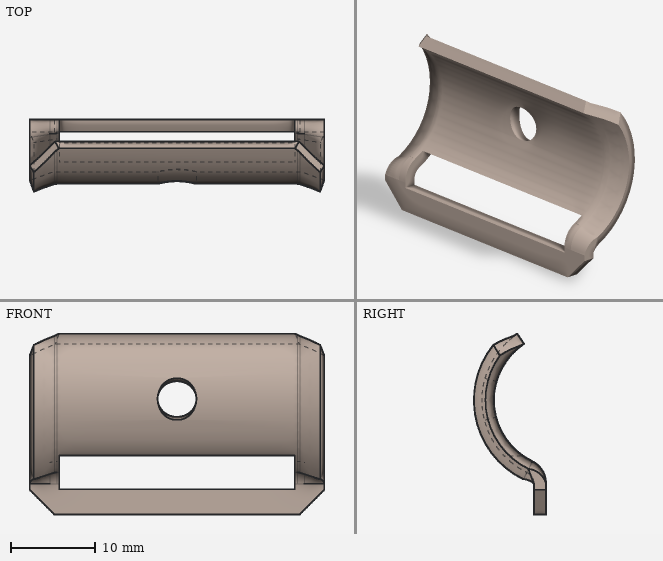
import cadquery as cq
import math

length = 35.0
height = 21.5
sheet = 1.47
half_length = length / 2

shell_radius = 9.52
shell_inner = shell_radius - sheet
axis_y = 1.85
axis_z = 13.58
tip_angle = math.asin((height - axis_z) / shell_radius)

bend_back_radius = 2.98
bend_front_radius = bend_back_radius - sheet
bend_y = -bend_back_radius
centre_distance = shell_inner + bend_back_radius
joint_angle = math.acos((axis_y - bend_y) / centre_distance)
bend_z = axis_z - centre_distance * math.sin(joint_angle)

flare_start = 14.28
flare_angle = math.radians(20)
fold_outer_radius = 0.9
fold_inner_radius = fold_outer_radius + sheet
fold_inner_end = flare_start + fold_inner_radius * math.sin(flare_angle)
flare_front_sagitta = 0.18
flare_back_sagitta = 0.42

clip_outer_start = 14.05
clip_inner_start = 14.5
clip_end_angle = math.radians(38.9)

lip_chamfer = 2.95
slot_half_length = 13.95
slot_bottom = 3.0
slot_top = 7.0
hole_width = 4.6
hole_height = 4.97
hole_z = 13.72

cutter_size = 21.0


def shell_point(radius, angle):
    """(Y, Z) on a circle about the shell axis; positive angles lie above it."""
    return axis_y - radius * math.cos(angle), axis_z + radius * math.sin(angle)


def fold_offset(x, fold_radius):
    """Outward shift of a flared surface at station x."""
    fold_end = flare_start + fold_radius * math.sin(flare_angle)
    shift = fold_radius * (1 - math.cos(flare_angle))
    return shift + (x - fold_end) * math.tan(flare_angle)


def fold_middle(fold_radius):
    """X and outward shift halfway round the fold."""
    half = flare_angle / 2
    return flare_start + fold_radius * math.sin(half), fold_radius * (1 - math.cos(half))


flare_inner_end_radius = shell_inner + fold_offset(half_length, fold_inner_radius)
flare_outer_end_x = half_length - sheet * math.sin(flare_angle)
flare_outer_end_radius = flare_inner_end_radius + sheet * math.cos(flare_angle)


def make_half_shell():
    """Shell for X >= 0, revolved from the upper edge down to the reverse bend."""
    outer_mid_x, outer_mid_shift = fold_middle(fold_outer_radius)
    inner_mid_x, inner_mid_shift = fold_middle(fold_inner_radius)
    outer_fold_end = flare_start + fold_outer_radius * math.sin(flare_angle)
    outer_fold_shift = fold_offset(outer_fold_end, fold_outer_radius)
    inner_fold_shift = fold_offset(fold_inner_end, fold_inner_radius)
    return (
        cq.Workplane("XY")
        .moveTo(0, -shell_radius)
        .lineTo(flare_start, -shell_radius)
        .threePointArc(
            (outer_mid_x, -shell_radius - outer_mid_shift),
            (outer_fold_end, -shell_radius - outer_fold_shift),
        )
        .lineTo(flare_outer_end_x, -flare_outer_end_radius)
        .lineTo(half_length, -flare_inner_end_radius)
        .lineTo(fold_inner_end, -shell_inner - inner_fold_shift)
        .threePointArc(
            (inner_mid_x, -shell_inner - inner_mid_shift),
            (flare_start, -shell_inner),
        )
        .lineTo(0, -shell_inner)
        .close()
        .revolve(math.degrees(tip_angle + joint_angle), (0, 0), (1, 0))
        .rotate((0, 0, 0), (1, 0, 0), -math.degrees(tip_angle))
        .translate((0, axis_y, axis_z))
    )


def bulged_middle(start, end, sagitta):
    """Middle of an arc bulging to the left of the chord from start to end."""
    dy = end[0] - start[0]
    dz = end[1] - start[1]
    chord = math.hypot(dy, dz)
    return (
        (start[0] + end[0]) / 2 - sagitta * dz / chord,
        (start[1] + end[1]) / 2 + sagitta * dy / chord,
    )


def bend_section(x, outer_shift, inner_shift, front_sagitta, back_sagitta):
    """Closed section of the reverse bend at station x."""
    front_top = shell_point(shell_radius + outer_shift, -joint_angle)
    back_top = shell_point(shell_inner + inner_shift, -joint_angle)
    front_low = (-sheet, bend_z)
    back_low = (0, bend_z)
    front_mid = bulged_middle(front_top, front_low, front_sagitta)
    back_mid = bulged_middle(back_top, back_low, back_sagitta)
    return (
        cq.Workplane("YZ", origin=(x, 0, 0))
        .moveTo(*front_top)
        .threePointArc(front_mid, front_low)
        .lineTo(*back_low)
        .threePointArc(back_mid, back_top)
        .close()
    )


def beyond_plane(a, b, c):
    """Large block on the +X side of the plane through three points."""
    point = cq.Vector(*a)
    normal = (cq.Vector(*b) - point).cross(cq.Vector(*c) - point)
    if normal.x < 0:
        normal = normal * -1
    plane = cq.Plane(origin=a, normal=normal.toTuple())
    return cq.Workplane(plane).rect(cutter_size, cutter_size).extrude(cutter_size)


def make_half_bend():
    """Reverse bend for X >= 0, fading from the flare into the flat lip."""
    sagitta_factor = 1 - math.cos(joint_angle / 2)
    front_sagitta = bend_front_radius * sagitta_factor
    back_sagitta = bend_back_radius * sagitta_factor
    straight = bend_section(0, 0, 0, front_sagitta, back_sagitta).extrude(flare_start)
    sections = [
        bend_section(flare_start, 0, 0, front_sagitta, back_sagitta),
        bend_section(
            fold_inner_end,
            fold_offset(fold_inner_end, fold_outer_radius),
            fold_offset(fold_inner_end, fold_inner_radius),
            front_sagitta,
            back_sagitta,
        ),
        bend_section(
            half_length,
            fold_offset(half_length, fold_outer_radius),
            fold_offset(half_length, fold_inner_radius),
            flare_front_sagitta,
            flare_back_sagitta,
        ),
    ]
    wires = [section.wires().val() for section in sections]
    flared = cq.Workplane(cq.Solid.makeLoft(wires, True))
    end_trim = beyond_plane(
        (flare_outer_end_x, *shell_point(flare_outer_end_radius, -joint_angle)),
        (half_length, *shell_point(flare_inner_end_radius, -joint_angle)),
        (half_length, -sheet, bend_z),
    )
    return straight.union(flared.cut(end_trim))


def make_half_lip():
    """Flat lip for X >= 0 with its lower corner cut at 45 degrees."""
    return (
        cq.Workplane("XZ")
        .moveTo(0, 0)
        .lineTo(half_length - lip_chamfer, 0)
        .lineTo(half_length, lip_chamfer)
        .lineTo(half_length, bend_z)
        .lineTo(0, bend_z)
        .close()
        .extrude(sheet)
    )


def make_slot():
    """Window through the lip and the bend."""
    return (
        cq.Workplane("XY")
        .box(2 * slot_half_length, cutter_size, slot_top - slot_bottom)
        .translate((0, 0, (slot_top + slot_bottom) / 2))
    )


def make_hole():
    """Hole whose upper and lower walls converge towards the shell axis."""
    rim_distance = math.sqrt(shell_radius**2 - (hole_height / 2) ** 2)
    near = shell_inner - sheet
    far = shell_radius + sheet
    return (
        cq.Workplane("XZ", origin=(0, axis_y - near, hole_z))
        .ellipse(hole_width / 2, hole_height / 2 * near / rim_distance)
        .workplane(offset=far - near)
        .ellipse(hole_width / 2, hole_height / 2 * far / rim_distance)
        .loft(ruled=True)
    )


corner_clip = beyond_plane(
    (clip_outer_start, *shell_point(shell_radius, tip_angle)),
    (clip_inner_start, *shell_point(shell_inner, tip_angle)),
    (flare_outer_end_x, *shell_point(flare_outer_end_radius, clip_end_angle)),
)
half_shell = make_half_shell().cut(corner_clip)
half_part = half_shell.union(make_half_bend()).union(make_half_lip())
whole = half_part.union(half_part.mirror("YZ"))
result = whole.cut(make_slot()).cut(make_hole())